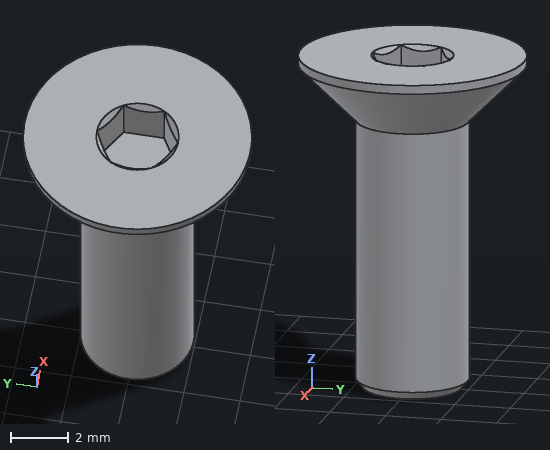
import cadquery as cq
import math

length = 12.0
head_diameter = 8.0
shank_diameter = 4.0
rim_height = 0.31
tip_height = 0.31
tip_inset = 0.25
socket_across_flats = 2.5
socket_depth = 1.6
lead_in_angle = 45.0

head_radius = head_diameter / 2
shank_radius = shank_diameter / 2
cone_height = head_radius - shank_radius
socket_corner_radius = socket_across_flats / math.sqrt(3)


def screw_body():
    """Turned body: chamfered tip, plain shank, conical head and thin rim."""
    rim_bottom = length - rim_height
    profile = (
        cq.Workplane("XZ")
        .moveTo(0, 0)
        .lineTo(shank_radius - tip_inset, 0)
        .lineTo(shank_radius, tip_height)
        .lineTo(shank_radius, rim_bottom - cone_height)
        .lineTo(head_radius, rim_bottom)
        .lineTo(head_radius, length)
        .lineTo(0, length)
        .close()
    )
    return profile.revolve(360, (0, 0, 0), (0, 1, 0))


def hexagon_socket():
    """Flat-bottomed hexagonal recess with two corners on the Y axis."""
    return (
        cq.Workplane("XY")
        .workplane(offset=length - socket_depth)
        .polygon(6, 2 * socket_corner_radius)
        .extrude(socket_depth)
        .rotate((0, 0, 0), (0, 0, 1), 30)
    )


def lead_in_cone():
    """Shallow cone that meets the socket corners at the head face."""
    cone_depth = socket_corner_radius * math.tan(math.radians(lead_in_angle))
    return (
        cq.Workplane("XZ")
        .moveTo(0, length)
        .lineTo(socket_corner_radius, length)
        .lineTo(0, length - cone_depth)
        .close()
        .revolve(360, (0, 0, 0), (0, 1, 0))
    )


result = screw_body().cut(hexagon_socket()).cut(lead_in_cone())